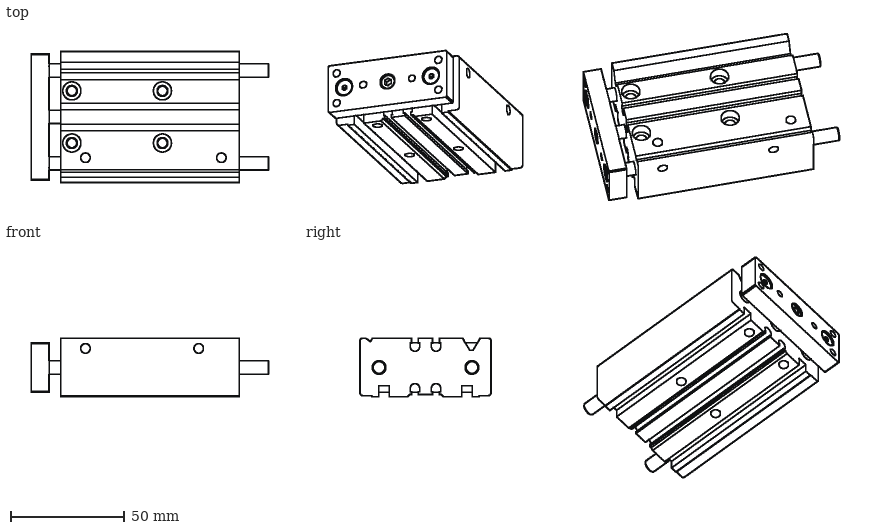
import cadquery as cq
import math


PLATE_THICKNESS = 8
PLATE_WIDTH = 56
PLATE_HEIGHT = 22
PLATE_CHAMFER = 0.5

HOUSING_GAP = 5
HOUSING_START = PLATE_THICKNESS + HOUSING_GAP
HOUSING_LENGTH = 79
HOUSING_END = HOUSING_START + HOUSING_LENGTH
HOUSING_WIDTH = 58
HOUSING_HEIGHT = 26
TOP = HOUSING_HEIGHT / 2
BOTTOM = -HOUSING_HEIGHT / 2
SIDE = HOUSING_WIDTH / 2
CORNER_RADIUS = 1.4
FOOT_WIDTH = 47.4
FOOT_HEIGHT = 0.5

RELIEF_DEPTH = 1
RELIEF_TOP_WIDTH = 14
RELIEF_BOTTOM_WIDTH = RELIEF_TOP_WIDTH + 2 * RELIEF_DEPTH

SENSOR_SLOT_Y = 4.65
SENSOR_NECK_WIDTH = 2.9
SENSOR_NECK_DEPTH = 2.3
SENSOR_CHANNEL_RADIUS = 2.05
SENSOR_CHANNEL_CENTRE_DEPTH = 3.8

MOUNT_SLOT_Y = 18.35
MOUNT_SLOT_WIDTH = 4.5
MOUNT_SLOT_DEPTH = 5

TAPER_GROOVE_Y = 20.25
TAPER_GROOVE_FLOOR_WIDTH = 1.65
TAPER_GROOVE_DEPTH = 5.3
TAPER_GROOVE_SLOPE = 60
V_GROOVE_DEPTH = 1.5
V_GROOVE_BOTTOM_Y = -24.3
V_GROOVE_INNER_RUN = 0.9
V_GROOVE_OUTER_RUN = 2.2

MOUNT_HOLE_X = [HOUSING_START + 5, HOUSING_START + 45]
MOUNT_HOLE_Y = 11.5
MOUNT_HEAD_DIAMETER = 8
MOUNT_HEAD_DEPTH = 5
MOUNT_SHANK_DIAMETER = 4.8
MOUNT_THREAD_DIAMETER = 4.2
MOUNT_THREAD_LENGTH = 10

PORT_DIAMETER = 4.2
PORT_DEPTH = 7
TOP_PORT_X = [HOUSING_START + 11, HOUSING_START + 71]
TOP_PORT_Y = -18
SIDE_PORT_X = [HOUSING_START + 11, HOUSING_START + 61]
SIDE_PORT_Z = 8.4

ROD_DIAMETER = 6
GUIDE_ROD_Y = 20.5
GUIDE_ROD_END = 105
GUIDE_ROD_CHAMFER = 0.4
PISTON_ROD_END = HOUSING_START + HOUSING_LENGTH / 2

RECESS_DEPTH = 0.5
GUIDE_RECESS_DIAMETER = 8
PISTON_RECESS_DIAMETER = 7
GUIDE_SOCKET_FLATS = 2
PISTON_SOCKET_FLATS = 3
SOCKET_DEPTH = 3

PLATE_HOLE_DIAMETER = 3.3
PLATE_HOLE_SPACING_Y = 48
PLATE_HOLE_SPACING_Z = 14
DOWEL_DIAMETER = 3
DOWEL_Y = 11.5
DOWEL_SLOT_LENGTH = 3.3


def yz_plane(x):
    """Workplane facing +X at the given X, with local axes along Y and Z."""
    return cq.Workplane("YZ", origin=(x, 0, 0))


def along_x_box(start, length, width, z_low, z_high):
    """Block centred on Y = 0."""
    height = z_high - z_low
    return yz_plane(start).center(0, z_low + height / 2).rect(width, height).extrude(length)


def groove(points):
    """Prism over the whole housing length from a closed Y-Z outline."""
    return yz_plane(HOUSING_START).polyline(points).close().extrude(HOUSING_LENGTH)


def rod(y, end):
    """Plain round rod from the plate's outer face."""
    return yz_plane(0).center(y, 0).circle(ROD_DIAMETER / 2).extrude(end)


def sensor_slot(y):
    """Sensor slot opening through the top face."""
    half_neck = SENSOR_NECK_WIDTH / 2
    radius = SENSOR_CHANNEL_RADIUS
    ceiling = TOP - SENSOR_NECK_DEPTH
    centre = TOP - SENSOR_CHANNEL_CENTRE_DEPTH
    return (
        yz_plane(HOUSING_START)
        .moveTo(y - half_neck, TOP)
        .lineTo(y - half_neck, ceiling)
        .lineTo(y - radius, ceiling)
        .lineTo(y - radius, centre)
        .threePointArc((y, centre - radius), (y + radius, centre))
        .lineTo(y + radius, ceiling)
        .lineTo(y + half_neck, ceiling)
        .lineTo(y + half_neck, TOP)
        .close()
        .extrude(HOUSING_LENGTH)
    )


def housing_blank():
    """Rounded block standing on a slightly narrower foot."""
    block = along_x_box(HOUSING_START, HOUSING_LENGTH, HOUSING_WIDTH, BOTTOM + FOOT_HEIGHT, TOP)
    block = block.edges("|X").fillet(CORNER_RADIUS)
    foot = along_x_box(HOUSING_START, HOUSING_LENGTH, FOOT_WIDTH, BOTTOM, 0)
    return block.union(foot)


def cut_underside(body):
    """Middle relief and two mounting slots."""
    half_low = RELIEF_BOTTOM_WIDTH / 2
    half_high = RELIEF_TOP_WIDTH / 2
    relief_z = BOTTOM + RELIEF_DEPTH
    body = body.cut(
        groove([(-half_low, BOTTOM), (half_low, BOTTOM), (half_high, relief_z), (-half_high, relief_z)])
    )
    slot = along_x_box(
        HOUSING_START, HOUSING_LENGTH, MOUNT_SLOT_WIDTH, BOTTOM, BOTTOM + MOUNT_SLOT_DEPTH
    )
    for side in (-1, 1):
        body = body.cut(slot.translate((0, side * MOUNT_SLOT_Y, 0)))
    return body


def cut_sensor_slots(body):
    """Two sensor slots in the top and two mirrored ones in the underside."""
    for side in (-1, 1):
        slot = sensor_slot(side * SENSOR_SLOT_Y)
        body = body.cut(slot).cut(slot.mirror("XY"))
    return body


def cut_top_grooves(body):
    """Tapered groove on the +Y side and V groove on the -Y side."""
    half_floor = TAPER_GROOVE_FLOOR_WIDTH / 2
    half_mouth = half_floor + TAPER_GROOVE_DEPTH / math.tan(math.radians(TAPER_GROOVE_SLOPE))
    floor_z = TOP - TAPER_GROOVE_DEPTH
    body = body.cut(
        groove(
            [
                (TAPER_GROOVE_Y - half_mouth, TOP),
                (TAPER_GROOVE_Y - half_floor, floor_z),
                (TAPER_GROOVE_Y + half_floor, floor_z),
                (TAPER_GROOVE_Y + half_mouth, TOP),
            ]
        )
    )
    return body.cut(
        groove(
            [
                (V_GROOVE_BOTTOM_Y + V_GROOVE_INNER_RUN, TOP),
                (V_GROOVE_BOTTOM_Y, TOP - V_GROOVE_DEPTH),
                (V_GROOVE_BOTTOM_Y - V_GROOVE_OUTER_RUN, TOP),
            ]
        )
    )


def cut_mount_holes(body):
    """Counterbored through holes that narrow to a thread at the underside."""
    spots = [(x, side * MOUNT_HOLE_Y) for x in MOUNT_HOLE_X for side in (-1, 1)]
    top_plane = cq.Workplane("XY", origin=(0, 0, TOP)).pushPoints(spots)
    heads = top_plane.circle(MOUNT_HEAD_DIAMETER / 2).extrude(-MOUNT_HEAD_DEPTH)
    shanks = top_plane.circle(MOUNT_SHANK_DIAMETER / 2).extrude(MOUNT_THREAD_LENGTH - HOUSING_HEIGHT)
    threads = top_plane.circle(MOUNT_THREAD_DIAMETER / 2).extrude(-HOUSING_HEIGHT)
    return body.cut(heads).cut(shanks).cut(threads)


def cut_ports(body):
    """Blind air ports in the top and in the -Y side."""
    top_ports = (
        cq.Workplane("XY", origin=(0, 0, TOP))
        .pushPoints([(x, TOP_PORT_Y) for x in TOP_PORT_X])
        .circle(PORT_DIAMETER / 2)
        .extrude(-PORT_DEPTH)
    )
    side_ports = (
        cq.Workplane("XZ", origin=(0, -SIDE, 0))
        .pushPoints([(x, SIDE_PORT_Z) for x in SIDE_PORT_X])
        .circle(PORT_DIAMETER / 2)
        .extrude(-PORT_DEPTH)
    )
    return body.cut(top_ports).cut(side_ports)


def make_housing():
    body = housing_blank()
    body = cut_underside(body)
    body = cut_sensor_slots(body)
    body = cut_top_grooves(body)
    body = cut_mount_holes(body)
    body = cut_ports(body)
    for side in (-1, 1):
        body = body.cut(rod(side * GUIDE_ROD_Y, HOUSING_END))
    return body.cut(rod(0, PISTON_ROD_END))


def rod_face(y, recess_diameter, socket_flats):
    """Cutter for the bevelled recess and hexagon socket on one rod's axis."""
    recess = (
        yz_plane(0)
        .center(y, 0)
        .circle(recess_diameter / 2)
        .workplane(offset=RECESS_DEPTH)
        .circle(recess_diameter / 2 - RECESS_DEPTH)
        .loft()
    )
    corner_diameter = socket_flats / math.cos(math.pi / 6)
    socket = (
        cq.Workplane("YZ")
        .polygon(6, corner_diameter)
        .extrude(SOCKET_DEPTH)
        .rotate((0, 0, 0), (1, 0, 0), 30)
        .translate((0, y, 0))
    )
    return recess.union(socket)


def make_plate():
    """End plate with corner holes, a round dowel hole and a slotted one."""
    plate = along_x_box(0, PLATE_THICKNESS, PLATE_WIDTH, -PLATE_HEIGHT / 2, PLATE_HEIGHT / 2)
    plate = plate.edges("|X").chamfer(PLATE_CHAMFER)
    corner_holes = (
        yz_plane(0)
        .rarray(PLATE_HOLE_SPACING_Y, PLATE_HOLE_SPACING_Z, 2, 2)
        .circle(PLATE_HOLE_DIAMETER / 2)
        .extrude(PLATE_THICKNESS)
    )
    dowel_hole = yz_plane(0).center(-DOWEL_Y, 0).circle(DOWEL_DIAMETER / 2).extrude(PLATE_THICKNESS)
    dowel_slot = (
        yz_plane(0).center(DOWEL_Y, 0).slot2D(DOWEL_SLOT_LENGTH, DOWEL_DIAMETER).extrude(PLATE_THICKNESS)
    )
    return plate.cut(corner_holes).cut(dowel_hole).cut(dowel_slot)


def make_slide():
    """End plate and its three rods as one body."""
    body = make_plate().union(rod(0, PISTON_ROD_END))
    for side in (-1, 1):
        y = side * GUIDE_ROD_Y
        guide_rod = rod(y, GUIDE_ROD_END).faces(">X").chamfer(GUIDE_ROD_CHAMFER)
        body = body.union(guide_rod).cut(rod_face(y, GUIDE_RECESS_DIAMETER, GUIDE_SOCKET_FLATS))
    return body.cut(rod_face(0, PISTON_RECESS_DIAMETER, PISTON_SOCKET_FLATS))


housing = make_housing()
slide = make_slide()

result = cq.Compound.makeCompound([housing.val(), slide.val()])